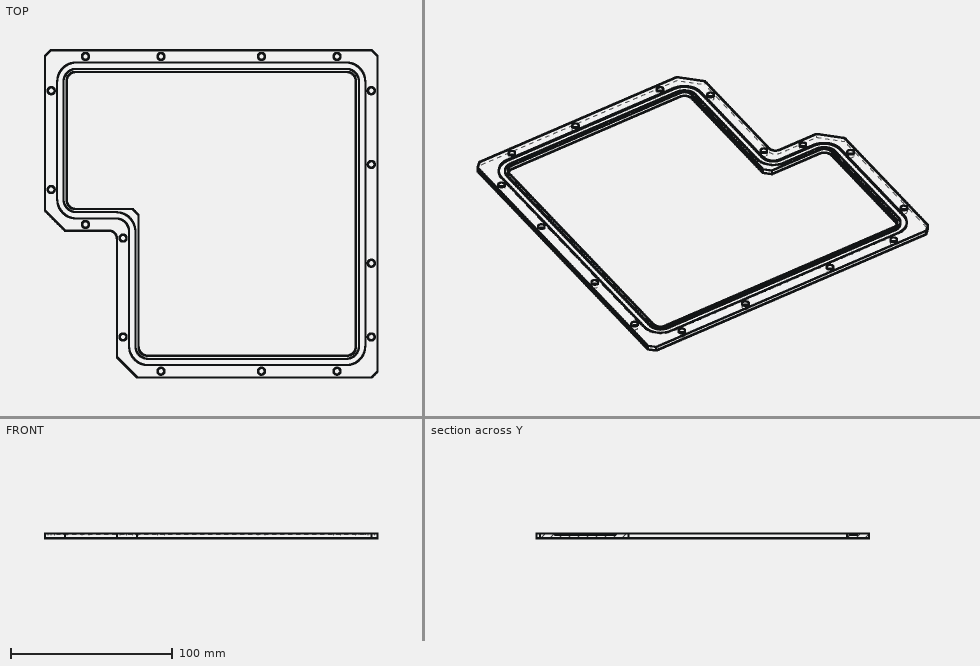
import cadquery as cq

length = 206.4
width = 203.0
thickness = 3.0
notch_x = 44.5
notch_y = 91.0

small_chamfer = 3.7
large_chamfer = 12.5
notch_fillet = 4.7

frame_width = 13.6
window_fillet = 5.4
window_chamfer = 4.0

groove_inset = 7.6
groove_width = 4.0
groove_depth = 0.8
groove_large_radius = 12.0
groove_small_radius = groove_large_radius - groove_width

hole_diameter = 4.1
hole_inset = 4.0
hole_end_distance = 25.2
hole_middle_pitch_x = 62.3
hole_middle_pitch_y = 61.3


def notch_corner(inset):
    """Re-entrant corner of the notched outline moved inward by inset."""
    return (notch_x + inset, notch_y + inset)


def outer_corners(inset):
    """Five outer corners of the notched outline, counterclockwise from the foot of the notch."""
    step_x, step_y = notch_corner(inset)
    right = length - inset
    top = width - inset
    return [(step_x, inset), (right, inset), (right, top), (inset, top), (inset, step_y)]


def notched_block(inset, height):
    """Block following the plate's notched outline, moved inward by inset."""
    outline = [notch_corner(inset)] + outer_corners(inset)
    return cq.Workplane("XY").polyline(outline).close().extrude(height)


def upright_edges(block, points):
    """Vertical edges of the block that stand on the given points."""
    edges = block.edges("|Z").vals()
    picked = [
        min(edges, key=lambda edge: (edge.Center().x - x) ** 2 + (edge.Center().y - y) ** 2)
        for x, y in points
    ]
    return block.newObject(picked)


def make_plate():
    plate = notched_block(0, thickness)
    first_end, *square_corners, second_end = outer_corners(0)
    plate = upright_edges(plate, [notch_corner(0)]).fillet(notch_fillet)
    plate = upright_edges(plate, [first_end, second_end]).chamfer(large_chamfer)
    return upright_edges(plate, square_corners).chamfer(small_chamfer)


def make_window():
    window = notched_block(frame_width, thickness)
    window = upright_edges(window, [notch_corner(frame_width)]).chamfer(window_chamfer)
    return upright_edges(window, outer_corners(frame_width)).fillet(window_fillet)


def rounded_block(inset, height, outer_radius, notch_radius):
    """Notched block with its five outer corners and its notch corner rounded."""
    block = notched_block(inset, height)
    block = upright_edges(block, [notch_corner(inset)]).fillet(notch_radius)
    return upright_edges(block, outer_corners(inset)).fillet(outer_radius)


def make_groove():
    """Ring of constant width, sunk into the top face."""
    outer = rounded_block(groove_inset, groove_depth, groove_large_radius, groove_small_radius)
    inner_inset = groove_inset + groove_width
    inner = rounded_block(inner_inset, groove_depth, groove_small_radius, groove_large_radius)
    return outer.cut(inner).translate((0, 0, thickness - groove_depth))


def hole_positions(side, middle_pitch):
    """Four positions along a side: one near each end and a pair about the middle."""
    return [
        hole_end_distance,
        (side - middle_pitch) / 2,
        (side + middle_pitch) / 2,
        side - hole_end_distance,
    ]


def hole_centers():
    along_x = hole_positions(length, hole_middle_pitch_x)
    along_y = hole_positions(width, hole_middle_pitch_y)
    upper_left_y = along_y[-1]
    lower_left_y = along_y[0]
    notch_hole_x, notch_hole_y = notch_corner(hole_inset)

    centers = [(x, width - hole_inset) for x in along_x]
    centers += [(length - hole_inset, y) for y in along_y]
    centers += [(x, hole_inset) for x in along_x[1:]]
    centers += [(hole_inset, y) for y in (upper_left_y, upper_left_y - hole_middle_pitch_y)]
    centers += [(notch_hole_x, y) for y in (lower_left_y, lower_left_y + hole_middle_pitch_y)]
    centers.append((hole_end_distance, notch_hole_y))
    return centers


def make_holes():
    plane = cq.Workplane("XY").pushPoints(hole_centers())
    return plane.circle(hole_diameter / 2).extrude(thickness)


result = make_plate().cut(make_window()).cut(make_groove()).cut(make_holes())